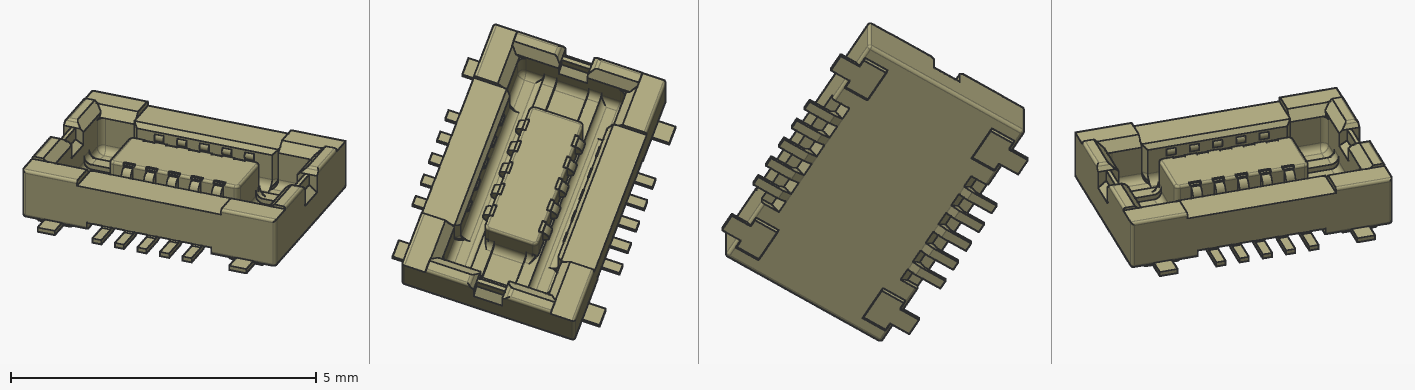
import cadquery as cq
import math

LENGTH = 4.5
WIDTH = 3.005
HALF_LENGTH = LENGTH / 2
HALF_WIDTH = WIDTH / 2
BOTTOM_Z = 0.04
CORNER_TOP_Z = 0.922
LIP_TOP_Z = 0.97
DECK_TOP_Z = 0.83
DECK_HALF_LENGTH = 1.28
SIDE_ROUND = 0.05
BOTTOM_ROUND = 0.06

LIP_HALF_SPAN = 1.09
LIP_THICKNESS = 0.27
LIP_ROUND = 0.05

CAVITY_HALF_LENGTH = 1.9
CAVITY_HALF_WIDTH = 0.925
CAVITY_CORNER_ROUND = 0.105
FLOOR_ROUND = 0.125
FLOOR_Z = 0.145
LEAD_IN_END_RUN = 0.155
LEAD_IN_END_Z = 0.83
LEAD_IN_SIDE_Z = 0.765

NOTCH_HALF_WIDTH = 0.248
NOTCH_SHOULDER_Z = 0.878
NOTCH_EDGE_SETBACK = 0.035
NOTCH_OUTER_Z = 0.57
NOTCH_INNER_Z = 0.59
WEB_OUTER_X = 2.11
WEB_INNER_X = 2.04
WEB_OUTER_FOOT_Z = 0.685
WEB_INNER_FOOT_Z = 0.665

PIER_FACE_Y = 0.845
PIER_BEVEL = CAVITY_HALF_WIDTH - PIER_FACE_Y
PIER_FACE_HALF_LENGTH = 1.2
PIER_FOOT_ROUND = 0.155

RIDGE_INNER_Y = 0.28
RIDGE_OUTER_Y = 0.5
RIDGE_RISE = 0.09

ISLAND_HALF_LENGTH = 1.15
ISLAND_HALF_WIDTH = 0.465
ISLAND_TOP_Z = 0.8
ISLAND_CORNER_ROUND = 0.08
ISLAND_TOP_ROUND = 0.045
ISLAND_FOOT_CORNER_X = 1.06
ISLAND_FOOT_CORNER_Y = 0.375
ISLAND_FOOT_SIDE_Y = 0.485

CONTACT_COUNT = 5
CONTACT_PITCH = 0.4
CONTACT_WIDTH = 0.16
TAIL_TIP_Y = 1.8
TAIL_THICKNESS = 0.08
BEND_START_Y = 1.405
BULGE_REACH_Y = 0.575
BULGE_TOP_Z = 0.745
BULGE_BOTTOM_Z = 0.43
TIP_POCKET_WIDTH = 0.195
TIP_POCKET_Y = 0.4
TIP_POCKET_DEPTH = 0.025
NUB_REACH = 0.025
NUB_TOP_Z = 0.7
NUB_BOTTOM_Z = 0.575

RELIEF_HALF_LENGTH = 1.102
RELIEF_TOP_Z = 0.175
RELIEF_ROOF_Y = 1.305
RELIEF_INNER_Y = 1.17

TAB_X = 1.7
TAB_WIDTH = 0.305
PAD_WIDTH = 0.64
PAD_INNER_Y = 1.005
PAD_OUTER_Y = 1.435
PAD_BEVEL = 0.035

SIDES = (-1, 1)


def block(x0, x1, y0, y1, z0, z1):
    """Axis-aligned box between two corners; each pair may come in either order."""
    size = (abs(x1 - x0), abs(y1 - y0), abs(z1 - z0))
    return cq.Workplane("XY").box(*size).translate(((x0 + x1) / 2, (y0 + y1) / 2, (z0 + z1) / 2))


def along_x(profile, x0, x1):
    """Extrude a closed YZ profile from x0 to x1."""
    return profile.extrude(x1 - x0).translate((x0, 0, 0))


def yz_polygon(points):
    return cq.Workplane("YZ").polyline(points).close()


def on_both_sides(solid, plane):
    """A solid together with its mirror image."""
    return solid.union(solid.mirror(plane))


def foot_profile(plane, wall, floor_z, radius, direction):
    """Concave fillet between a wall and a floor; direction is the sign of the way it reaches."""
    inset = radius * (1 - math.sqrt(0.5))
    return (
        cq.Workplane(plane)
        .moveTo(wall, floor_z)
        .lineTo(wall, floor_z + radius)
        .threePointArc((wall + direction * inset, floor_z + inset), (wall + direction * radius, floor_z))
        .close()
    )


def contact_positions():
    return [(i - (CONTACT_COUNT - 1) / 2) * CONTACT_PITCH for i in range(CONTACT_COUNT)]


def housing_shell():
    """Solid outer block with rounded ends, raised lips and a low deck along the middle."""
    shell = block(-HALF_LENGTH, HALF_LENGTH, -HALF_WIDTH, HALF_WIDTH, BOTTOM_Z, CORNER_TOP_Z)
    shell = shell.edges("|Z").fillet(SIDE_ROUND)
    shell = shell.faces("<Z").edges().fillet(BOTTOM_ROUND)
    rounded_top = block(-HALF_LENGTH, HALF_LENGTH, -HALF_WIDTH, HALF_WIDTH, BOTTOM_Z, CORNER_TOP_Z)
    shell = shell.intersect(rounded_top.faces(">Z").edges("|X").fillet(SIDE_ROUND))
    lip_inner_x = HALF_LENGTH - LIP_THICKNESS
    lip = block(lip_inner_x, HALF_LENGTH, -LIP_HALF_SPAN, LIP_HALF_SPAN, DECK_TOP_Z, LIP_TOP_Z)
    lip = lip.edges(">X and >Z").fillet(LIP_ROUND)
    shell = shell.union(on_both_sides(lip, "YZ"))
    return shell.cut(
        block(-DECK_HALF_LENGTH, DECK_HALF_LENGTH, -HALF_WIDTH, HALF_WIDTH, DECK_TOP_Z, LIP_TOP_Z)
    )


def lead_in(base_half_length, top_half_length, top_half_width):
    """Tapered void from the foot of the side slopes, at cavity width, up to the lip tops."""
    return (
        cq.Workplane("XY")
        .workplane(offset=LEAD_IN_SIDE_Z)
        .rect(2 * base_half_length, 2 * CAVITY_HALF_WIDTH)
        .workplane(offset=LIP_TOP_Z - LEAD_IN_SIDE_Z)
        .rect(2 * top_half_length, 2 * top_half_width)
        .loft(ruled=True)
    )


def cavity():
    """Void inside the housing: a round-cornered pocket widening into a sloped lead-in."""
    pocket = block(
        -CAVITY_HALF_LENGTH, CAVITY_HALF_LENGTH, -CAVITY_HALF_WIDTH, CAVITY_HALF_WIDTH, FLOOR_Z, LIP_TOP_Z
    )
    pocket = pocket.edges("|Z").fillet(CAVITY_CORNER_ROUND)
    pocket = pocket.faces("<Z").edges().fillet(FLOOR_ROUND)
    depth = LIP_TOP_Z - LEAD_IN_SIDE_Z
    side_top_y = CAVITY_HALF_WIDTH + depth
    side_slopes = lead_in(CAVITY_HALF_LENGTH, CAVITY_HALF_LENGTH, side_top_y)
    end_top_x = CAVITY_HALF_LENGTH + LEAD_IN_END_RUN
    end_base_x = end_top_x - depth * LEAD_IN_END_RUN / (LIP_TOP_Z - LEAD_IN_END_Z)
    end_slopes = lead_in(end_base_x, end_top_x, side_top_y)
    return pocket.union(side_slopes).union(end_slopes)


def end_notches():
    """Void across both end walls, flaring at 45 degrees up to rounded lip edges."""
    flare_top_y = NOTCH_HALF_WIDTH + LIP_TOP_Z - NOTCH_SHOULDER_Z
    slope_setback = NOTCH_EDGE_SETBACK * math.sqrt(0.5)
    arc_low = (flare_top_y - slope_setback, LIP_TOP_Z - slope_setback)
    arc_high = (flare_top_y + NOTCH_EDGE_SETBACK, LIP_TOP_Z)
    half = (
        cq.Workplane("YZ")
        .moveTo(0, NOTCH_OUTER_Z)
        .lineTo(NOTCH_HALF_WIDTH, NOTCH_OUTER_Z)
        .lineTo(NOTCH_HALF_WIDTH, NOTCH_SHOULDER_Z)
        .lineTo(*arc_low)
        .tangentArcPoint(arc_high, relative=False)
        .lineTo(0, LIP_TOP_Z)
        .close()
    )
    return on_both_sides(along_x(half, -HALF_LENGTH, HALF_LENGTH), "XZ")


def notch_webs():
    """Thin web standing in each notch between an outer and an inner sloped ledge."""
    profile = cq.Workplane("XZ").polyline([
        (HALF_LENGTH, NOTCH_OUTER_Z),
        (WEB_OUTER_X, WEB_OUTER_FOOT_Z),
        (WEB_OUTER_X, NOTCH_SHOULDER_Z),
        (WEB_INNER_X, NOTCH_SHOULDER_Z),
        (WEB_INNER_X, WEB_INNER_FOOT_Z),
        (CAVITY_HALF_LENGTH, NOTCH_INNER_Z),
        (CAVITY_HALF_LENGTH, NOTCH_OUTER_Z),
    ]).close()
    return on_both_sides(profile.extrude(NOTCH_HALF_WIDTH, both=True), "YZ")


def pier_corner_foot():
    """Rounded foot along one chamfered pier corner, faired into the straight foot."""
    run_x = DECK_HALF_LENGTH - PIER_FACE_HALF_LENGTH
    run_y = CAVITY_HALF_WIDTH - PIER_FACE_Y
    turn = -math.degrees(math.atan2(run_x, run_y))
    foot = foot_profile("XZ", 0, FLOOR_Z, PIER_FOOT_ROUND, 1).extrude(PIER_FOOT_ROUND, both=True)
    foot = foot.rotate((0, 0, 0), (0, 0, 1), turn).translate((PIER_FACE_HALF_LENGTH, PIER_FACE_Y, 0))
    outline = (
        cq.Workplane("XY")
        .polyline([
            (PIER_FACE_HALF_LENGTH, PIER_FACE_Y),
            (DECK_HALF_LENGTH, CAVITY_HALF_WIDTH),
            (PIER_FACE_HALF_LENGTH, PIER_FACE_Y - run_y),
        ])
        .close()
        .extrude(DECK_TOP_Z)
    )
    return foot.intersect(outline)


def piers():
    """Thick middle stretch of each long wall, with bevelled edges and a rounded foot."""
    pier = (
        cq.Workplane("XY")
        .workplane(offset=FLOOR_Z)
        .polyline([
            (-DECK_HALF_LENGTH, HALF_WIDTH),
            (-DECK_HALF_LENGTH, CAVITY_HALF_WIDTH),
            (-PIER_FACE_HALF_LENGTH, PIER_FACE_Y),
            (PIER_FACE_HALF_LENGTH, PIER_FACE_Y),
            (DECK_HALF_LENGTH, CAVITY_HALF_WIDTH),
            (DECK_HALF_LENGTH, HALF_WIDTH),
        ])
        .close()
        .extrude(DECK_TOP_Z - FLOOR_Z)
    )
    bevel = yz_polygon([
        (PIER_FACE_Y, DECK_TOP_Z - PIER_BEVEL),
        (PIER_FACE_Y, DECK_TOP_Z),
        (CAVITY_HALF_WIDTH, DECK_TOP_Z),
    ])
    pier = pier.cut(along_x(bevel, -DECK_HALF_LENGTH, DECK_HALF_LENGTH))
    foot = foot_profile("YZ", PIER_FACE_Y, FLOOR_Z, PIER_FOOT_ROUND, -1)
    pier = pier.union(along_x(foot, -PIER_FACE_HALF_LENGTH, PIER_FACE_HALF_LENGTH))
    pier = pier.union(on_both_sides(pier_corner_foot(), "YZ"))
    return on_both_sides(pier, "XZ")


def ridges():
    """Floor ridges along both sides of the island, joined to the end walls by fillets."""
    top_z = FLOOR_Z + RIDGE_RISE
    slope_run = math.sqrt(FLOOR_ROUND**2 - (FLOOR_ROUND - RIDGE_RISE) ** 2)
    toe_y = RIDGE_OUTER_Y + slope_run
    profile = (
        cq.Workplane("YZ")
        .moveTo(RIDGE_INNER_Y, BOTTOM_Z)
        .lineTo(toe_y, BOTTOM_Z)
        .lineTo(toe_y, FLOOR_Z)
        .radiusArc((RIDGE_OUTER_Y, top_z), FLOOR_ROUND)
        .lineTo(RIDGE_INNER_Y, top_z)
        .close()
    )
    ridge = along_x(profile, -CAVITY_HALF_LENGTH, CAVITY_HALF_LENGTH)
    end_foot = foot_profile("XZ", CAVITY_HALF_LENGTH, top_z, FLOOR_ROUND, -1)
    end_foot = end_foot.extrude(RIDGE_INNER_Y - RIDGE_OUTER_Y).translate((0, RIDGE_INNER_Y, 0))
    ridge = ridge.union(on_both_sides(end_foot, "YZ"))
    return on_both_sides(ridge, "XZ")


def island():
    """Centre block with rounded edges; its end feet are clipped to an octagonal outline."""
    body = block(
        -ISLAND_HALF_LENGTH, ISLAND_HALF_LENGTH, -ISLAND_HALF_WIDTH, ISLAND_HALF_WIDTH, BOTTOM_Z, ISLAND_TOP_Z
    )
    body = body.edges("|Z").fillet(ISLAND_CORNER_ROUND)
    body = body.faces(">Z").edges().fillet(ISLAND_TOP_ROUND)
    low_foot = foot_profile("XZ", ISLAND_HALF_LENGTH, FLOOR_Z, FLOOR_ROUND, 1)
    low_foot = low_foot.extrude(RIDGE_INNER_Y, both=True)
    ridge_foot = foot_profile("XZ", ISLAND_HALF_LENGTH, FLOOR_Z + RIDGE_RISE, FLOOR_ROUND, 1)
    ridge_foot = ridge_foot.extrude(RIDGE_INNER_Y - ISLAND_FOOT_SIDE_Y).translate((0, RIDGE_INNER_Y, 0))
    feet = low_foot.union(on_both_sides(ridge_foot, "XZ"))
    foot_tip_x = ISLAND_HALF_LENGTH + FLOOR_ROUND
    outline = (
        cq.Workplane("XY")
        .polyline([
            (ISLAND_FOOT_CORNER_X, -ISLAND_FOOT_SIDE_Y),
            (foot_tip_x, -ISLAND_FOOT_CORNER_Y),
            (foot_tip_x, ISLAND_FOOT_CORNER_Y),
            (ISLAND_FOOT_CORNER_X, ISLAND_FOOT_SIDE_Y),
        ])
        .close()
        .extrude(ISLAND_TOP_Z)
    )
    return body.union(on_both_sides(feet.intersect(outline), "YZ"))


def tip_pocket(x, side):
    """Shallow recess in the island's top edge above one contact."""
    half = TIP_POCKET_WIDTH / 2
    floor_z = ISLAND_TOP_Z - TIP_POCKET_DEPTH
    return block(x - half, x + half, side * TIP_POCKET_Y, side * BULGE_REACH_Y, floor_z, ISLAND_TOP_Z)


def curved_pad(root_y, face_y, reach_y, bottom_z, top_z):
    """YZ profile rooted inside a wall and bowing out of its face."""
    return (
        cq.Workplane("YZ")
        .moveTo(root_y, bottom_z)
        .lineTo(face_y, bottom_z)
        .threePointArc((reach_y, (bottom_z + top_z) / 2), (face_y, top_z))
        .lineTo(root_y, top_z)
        .close()
    )


def contact():
    """Exposed parts of one contact on the +Y side: bulge, nub and bent solder tail."""
    bulge = curved_pad(TIP_POCKET_Y, ISLAND_HALF_WIDTH, BULGE_REACH_Y, BULGE_BOTTOM_Z, BULGE_TOP_Z)
    nub = curved_pad(CAVITY_HALF_WIDTH, PIER_FACE_Y, PIER_FACE_Y - NUB_REACH, NUB_BOTTOM_Z, NUB_TOP_Z)
    tail = yz_polygon([
        (TAIL_TIP_Y, 0),
        (TAIL_TIP_Y, TAIL_THICKNESS),
        (BEND_START_Y, TAIL_THICKNESS),
        (RELIEF_ROOF_Y, RELIEF_TOP_Z),
        (RELIEF_INNER_Y, RELIEF_TOP_Z),
        (RELIEF_INNER_Y, BOTTOM_Z),
        (BEND_START_Y - TAIL_THICKNESS, 0),
    ])
    half = CONTACT_WIDTH / 2
    return [along_x(profile, -half, half) for profile in (bulge, nub, tail)]


def tail_relief():
    """Sloped recess in the bottom edge of the +Y wall."""
    profile = yz_polygon([
        (HALF_WIDTH, BOTTOM_Z),
        (HALF_WIDTH, RELIEF_TOP_Z),
        (RELIEF_ROOF_Y, RELIEF_TOP_Z),
        (RELIEF_INNER_Y, BOTTOM_Z),
    ])
    return along_x(profile, -RELIEF_HALF_LENGTH, RELIEF_HALF_LENGTH)


def hold_down_tab():
    """Flat tab on the +Y side with a wider bevelled pad under the housing."""
    half = TAB_WIDTH / 2
    tab = block(-half, half, PAD_INNER_Y, TAIL_TIP_Y, 0, TAIL_THICKNESS)
    half_pad = PAD_WIDTH / 2
    pad = block(-half_pad, half_pad, PAD_INNER_Y, PAD_OUTER_Y, 0, TAIL_THICKNESS)
    pad = pad.faces("<Z").edges("|Y").chamfer(PAD_BEVEL)
    return tab.union(pad)


result = housing_shell().cut(cavity()).cut(end_notches()).union(notch_webs())
result = result.union(piers()).union(ridges()).union(island())
result = result.cut(on_both_sides(tail_relief(), "XZ"))

for contact_x in contact_positions():
    for side in SIDES:
        result = result.cut(tip_pocket(contact_x, side))
    for piece in contact():
        result = result.union(on_both_sides(piece, "XZ").translate((contact_x, 0, 0)))

for tab_side in SIDES:
    result = result.union(on_both_sides(hold_down_tab(), "XZ").translate((tab_side * TAB_X, 0, 0)))